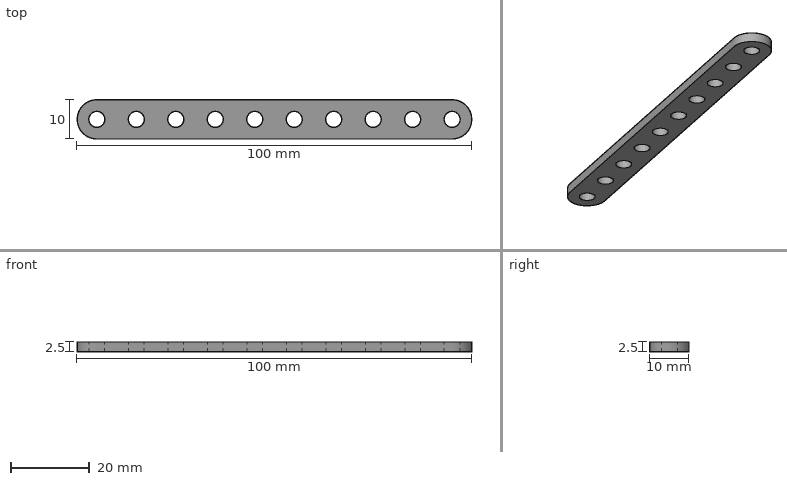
import cadquery as cq

length = 100.0
width = 10.0
thickness = 2.5
hole_diameter = 4.0
hole_count = 10
hole_pitch = length / hole_count

bar = cq.Workplane("XY").slot2D(length, width).extrude(thickness)

result = (
    bar.faces(">Z")
    .workplane(origin=(0, 0, thickness))
    .rarray(hole_pitch, width, hole_count, 1)
    .hole(hole_diameter)
)